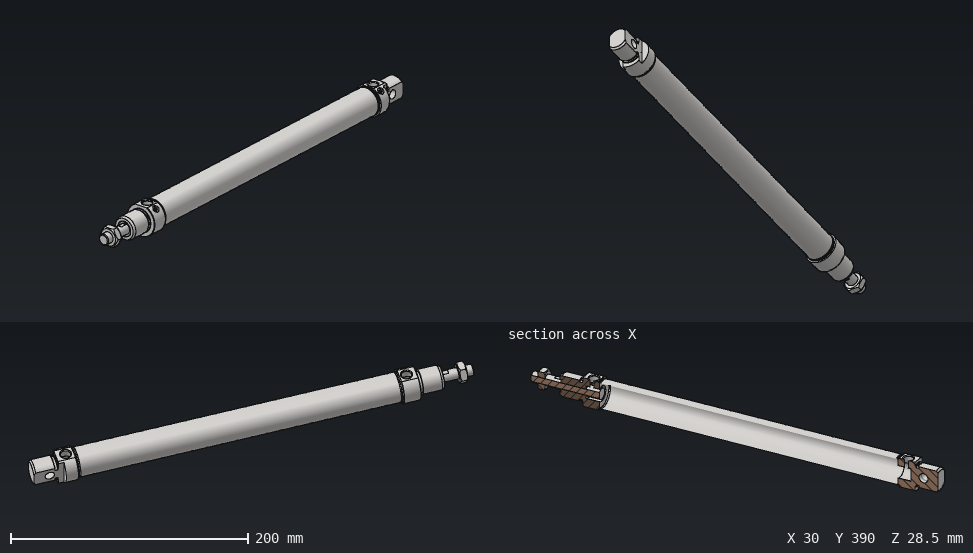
import cadquery as cq
import math

LENGTH = 390.0

ROD_DIA = 10.0
ROD_TIP_CHAMFER = 0.8
ROD_FLAT_SPACING = 9.5
ROD_FLAT_LENGTH = 6.0
NUT_ACROSS_FLATS = 17.0
NUT_START = 6.5
NUT_THICKNESS = 7.0
NUT_CHAMFER_DIA = 15.5
NUT_CHAMFER_ANGLE = 30.0

CAP_DIA = 30.0
CAP_EDGE_CHAMFER = 0.5
OVERALL_HEIGHT = 28.5
PORT_FLAT_HEIGHT = OVERALL_HEIGHT - CAP_DIA / 2
LIP_DIA = 2 * PORT_FLAT_HEIGHT
LIP_LENGTH = 1.0
TUBE_DIA = 26.5
TUBE_BORE = 25.0
TUBE_RIM_LENGTH = 1.0
CAP_BORE = 14.0

NOSE_DIA = 22.0
NOSE_START = 27.5
NOSE_TIP_DIA = 19.5
NOSE_TAPER_LENGTH = 2.5
NOSE_RECESS_DIA = 14.0
NOSE_RECESS_DEPTH = 1.0
NECK_DIA = 18.7
NECK_START = 46.8
COLLAR_LENGTH = 0.8
FRONT_CAP_START = 50.0
FRONT_CAP_END = 64.7
FRONT_BORE_START = 53.0

REAR_CAP_DIA = 29.5
REAR_CAP_START = 352.5
REAR_CAP_END = 368.0
REAR_BORE_END = 363.5
CLEVIS_DIA = 22.0
CLEVIS_WIDTH = 16.0
CLEVIS_START = 371.3
CLEVIS_FLAT_START = 363.5
CLEVIS_CHAMFER = 1.5
PIN_HOLE_DIA = 8.0
PIN_HOLE_Y = 376.0

PORT_DIA = 8.5
PORT_MOUTH_DIA = 10.0
FRONT_PORT_Y = 58.5
REAR_PORT_Y = 359.5
SCREW_DIA = 6.2
SCREW_DEPTH = 2.0
SCREW_SOCKET_DIA = 3.5
SCREW_SOCKET_DEPTH = 1.5
SCREW_ANGLE = 43.0
FRONT_SCREW_Y = 57.7
REAR_SCREW_Y = 357.5


def cylinder(diameter, start, end):
    """Solid cylinder on the Y axis between two Y places."""
    return cq.Workplane("XZ", origin=(0, start, 0)).circle(diameter / 2).extrude(start - end)


def revolve_profile(points):
    """Solid of revolution about the Y axis from (radius, Y) points."""
    return cq.Workplane("XY").polyline(points).close().revolve(360, (0, 0, 0), (0, 1, 0))


def radial_hole(diameter, y, inner_radius, angle):
    """Cutter leaving the axis outward, turned by angle from +Z toward +X."""
    hole = cq.Workplane("XY", origin=(0, y, inner_radius)).circle(diameter / 2).extrude(CAP_DIA)
    return hole.rotate((0, 0, 0), (0, 1, 0), angle)


def add_port_and_screw(cap, port_y, screw_y, flat_start, flat_end):
    """Cut the port flat, the air port and the cushion screw recess."""
    flat_length = flat_end - flat_start
    above_flat = cq.Workplane("XY").box(CAP_DIA, flat_length, CAP_DIA, centered=(True, False, False))
    cap = cap.cut(above_flat.translate((0, flat_start, PORT_FLAT_HEIGHT)))
    cap = cap.cut(radial_hole(PORT_DIA, port_y, 0, 0))
    mouth_depth = (PORT_MOUTH_DIA - PORT_DIA) / 2
    mouth = radial_hole(PORT_MOUTH_DIA, port_y, PORT_FLAT_HEIGHT - mouth_depth, 0)
    cap = cap.cut(mouth.faces("<Z").chamfer(mouth_depth))
    recess_floor = CAP_DIA / 2 - SCREW_DEPTH
    cap = cap.cut(radial_hole(SCREW_DIA, screw_y, recess_floor, SCREW_ANGLE))
    return cap.cut(radial_hole(SCREW_SOCKET_DIA, screw_y, recess_floor - SCREW_SOCKET_DEPTH, SCREW_ANGLE))


def make_rod():
    rod = cylinder(ROD_DIA, 0, FRONT_CAP_END + LIP_LENGTH)
    rod = rod.faces("<Y").chamfer(ROD_TIP_CHAMFER)
    flat_start = NOSE_START - ROD_FLAT_LENGTH
    for side in (1, -1):
        flat = cq.Workplane("XY").box(ROD_DIA, ROD_FLAT_LENGTH, ROD_DIA)
        flat_z = side * (ROD_FLAT_SPACING + ROD_DIA) / 2
        rod = rod.cut(flat.translate((0, flat_start + ROD_FLAT_LENGTH / 2, flat_z)))
    return rod


def make_nut():
    corner_dia = NUT_ACROSS_FLATS / math.cos(math.pi / 6)
    nut_end = NUT_START + NUT_THICKNESS
    hexagon = cq.Workplane("XZ", origin=(0, NUT_START, 0)).polygon(6, corner_dia).extrude(-NUT_THICKNESS)
    slope = math.tan(math.radians(NUT_CHAMFER_ANGLE))
    face_radius = NUT_CHAMFER_DIA / 2
    middle_radius = face_radius + NUT_THICKNESS / 2 / slope
    double_cone = revolve_profile([
        (0, NUT_START),
        (face_radius, NUT_START),
        (middle_radius, NUT_START + NUT_THICKNESS / 2),
        (face_radius, nut_end),
        (0, nut_end),
    ])
    return hexagon.intersect(double_cone).cut(cylinder(ROD_DIA, NUT_START, nut_end))


def make_front_cap():
    lip_end = FRONT_CAP_END + LIP_LENGTH
    nose = revolve_profile([
        (0, NOSE_START),
        (NOSE_TIP_DIA / 2, NOSE_START),
        (NOSE_DIA / 2, NOSE_START + NOSE_TAPER_LENGTH),
        (NOSE_DIA / 2, NECK_START),
        (0, NECK_START),
    ])
    neck = cylinder(NECK_DIA, NECK_START, FRONT_CAP_START)
    collar = cylinder(NOSE_DIA, FRONT_CAP_START - COLLAR_LENGTH, FRONT_CAP_START)
    disc = cylinder(CAP_DIA, FRONT_CAP_START, FRONT_CAP_END)
    disc = disc.faces("<Y").chamfer(CAP_EDGE_CHAMFER)
    lip = cylinder(LIP_DIA, FRONT_CAP_END, lip_end)
    cap = disc.union(neck).union(collar).union(nose).union(lip)
    cap = cap.cut(cylinder(ROD_DIA, NOSE_START, lip_end))
    cap = cap.cut(cylinder(NOSE_RECESS_DIA, NOSE_START, NOSE_START + NOSE_RECESS_DEPTH))
    cap = cap.cut(cylinder(CAP_BORE, FRONT_BORE_START, lip_end))
    return add_port_and_screw(cap, FRONT_PORT_Y, FRONT_SCREW_Y, FRONT_CAP_START, FRONT_CAP_END)


def make_rear_cap():
    lip_start = REAR_CAP_START - LIP_LENGTH
    lip = cylinder(LIP_DIA, lip_start, REAR_CAP_START)
    disc = cylinder(REAR_CAP_DIA, REAR_CAP_START, REAR_CAP_END)
    neck = cylinder(NECK_DIA, REAR_CAP_END, CLEVIS_START)
    collar = cylinder(CLEVIS_DIA, REAR_CAP_END, REAR_CAP_END + COLLAR_LENGTH)
    clevis = cylinder(CLEVIS_DIA, CLEVIS_START, LENGTH)
    clevis = clevis.faces(">Y").chamfer(CLEVIS_CHAMFER)
    cap = disc.union(lip).union(collar).union(neck).union(clevis)
    for side in (1, -1):
        side_cut = cq.Workplane("XY").box(CAP_DIA, LENGTH - CLEVIS_FLAT_START, 2 * CAP_DIA)
        side_x = side * (CLEVIS_WIDTH + CAP_DIA) / 2
        cap = cap.cut(side_cut.translate((side_x, (LENGTH + CLEVIS_FLAT_START) / 2, 0)))
    pin_hole = cq.Workplane("YZ", origin=(0, PIN_HOLE_Y, 0)).circle(PIN_HOLE_DIA / 2)
    cap = cap.cut(pin_hole.extrude(CLEVIS_WIDTH, both=True))
    cap = cap.cut(cylinder(CAP_BORE, lip_start, REAR_BORE_END))
    return add_port_and_screw(cap, REAR_PORT_Y, REAR_SCREW_Y, REAR_CAP_START, REAR_CAP_END)


def make_tube():
    start = FRONT_CAP_END + LIP_LENGTH
    end = REAR_CAP_START - LIP_LENGTH
    tube = cylinder(TUBE_DIA, start, end)
    tube = tube.union(cylinder(LIP_DIA, start, start + TUBE_RIM_LENGTH))
    tube = tube.union(cylinder(LIP_DIA, end - TUBE_RIM_LENGTH, end))
    return tube.cut(cylinder(TUBE_BORE, start, end))


rod = make_rod()
nut = make_nut()
front_cap = make_front_cap()
rear_cap = make_rear_cap()
tube = make_tube()

result = cq.Compound.makeCompound([
    rod.val(),
    nut.val(),
    front_cap.val(),
    rear_cap.val(),
    tube.val(),
])